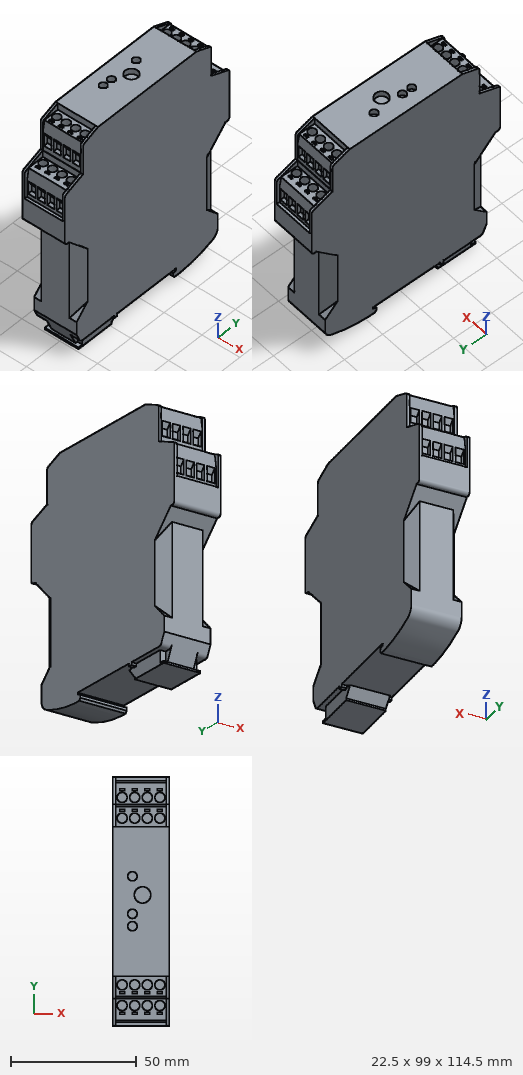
import cadquery as cq
import math

width = 22.5
length = 99.0
height = 114.5

top_half = 29.6
shoulder_half = 38.6
end_half = length / 2
waist_half = 42.5
shoulder_z = 95.3
roof_angle = 21.0
roof_fillet = 1.5
overhang_z = 64.5
overhang_half = 47.0
overhang_fillet = 1.5
base_z = 6.4
corner_fillet = 2.0
chamfer_top_z = 11.6
chamfer_angle = 25.0

hook_wall_y = 17.4
hook_tip_y = 15.5
hook_bottom_z = 2.5
hook_throat_drop = 0.8
hook_tip_drop = 1.5
hook_bevel_width = 0.8
hook_bevel_height = 1.0
hook_flat_end_y = 19.5
belly_mid = (30.5, 4.0)
belly_end = (38.6, 6.5)
belly_corner_mid = (41.3, 8.2)
belly_corner_top_z = 11.2

relief_inner_half = 35.9
relief_depth = 3.75
relief_bottom_z = 18.5

wall = 1.25
block_width = width - 2 * wall
pole_count = 4
pole_pitch = 5.0
tier_drop = 19.2
upper_top_z = 111.0
lip_height = 0.8
lean_height = 4.8
lean = 0.8
upper_inset = 0.1
lower_inset = 1.5
upper_front = shoulder_half - upper_inset
lower_front = end_half - lower_inset
ledge_z = 76.8

entry_width = 3.75
entry_top_drop = 6.3
entry_height = 6.7
entry_depth = 1.4
entry_back_width = 2.9
entry_back_height = 3.2
entry_floor_rise = 0.9

screw_diameter = 4.0
screw_depth = 5.0
upper_screw_y = 33.1
lower_screw_y = 41.3
slot_offset = 3.15
slot_length = 2.0
slot_width = 0.8
slot_depth = 2.0

indicator_diameter = 3.7
indicator_x = -3.4
indicator_ys = (10.0, -4.9, -9.8)
dial_diameter = 6.5
dial_x = 0.6
dial_y = 2.6
top_hole_depth = 3.0

clip_width = 17.8
tongue_width = 12.6
clip_end_y = -36.3
clip_toe_y = -38.7
clip_nose_y = -15.0
clip_nose_z = 5.1
clip_heel_y = -18.6
clip_neck_y = -17.7
clip_neck_z = 5.8
clip_foot = 0.9
stop_y = -18.9
stop_width = 1.9
stop_drop = 1.2


def extrude_yz(profile, thickness):
    """Extrude a closed YZ profile symmetrically about X = 0."""
    return profile.extrude(thickness / 2, both=True)


def polygon_yz(points, thickness):
    return extrude_yz(cq.Workplane("YZ").polyline(points).close(), thickness)


def chamfer_y(z):
    """Y of the sloped -Y end of the base at height z."""
    return -waist_half + (chamfer_top_z - z) * math.tan(math.radians(chamfer_angle))


def fillet_corner(body, y, z, radius):
    return body.edges(cq.selectors.NearestToPointSelector((0, y, z))).fillet(radius)


def mirrored(shape):
    """The shape together with its mirror image on the other Y side."""
    return shape.union(shape.mirror("XZ"))


roof_slope = math.tan(math.radians(roof_angle))
upper_corner_z = height - (shoulder_half - top_half) * roof_slope
lower_corner_z = shoulder_z - (end_half - shoulder_half) * roof_slope
waist_top_z = overhang_z - (overhang_half - waist_half)


def make_housing():
    upper_side = [
        (waist_half, waist_top_z),
        (overhang_half, overhang_z),
        (end_half, overhang_z),
        (end_half, lower_corner_z),
        (shoulder_half, shoulder_z),
        (shoulder_half, upper_corner_z),
        (top_half, height),
    ]
    profile = cq.Workplane("YZ").moveTo(*upper_side[0])
    for point in upper_side[1:]:
        profile = profile.lineTo(*point)
    for y, z in reversed(upper_side):
        profile = profile.lineTo(-y, z)
    profile = (
        profile.lineTo(-waist_half, chamfer_top_z)
        .lineTo(chamfer_y(base_z), base_z)
        .lineTo(hook_wall_y, base_z)
        .lineTo(hook_wall_y, base_z - hook_throat_drop)
        .lineTo(hook_tip_y, base_z - hook_tip_drop)
        .lineTo(hook_tip_y, hook_bottom_z + hook_bevel_height)
        .lineTo(hook_tip_y + hook_bevel_width, hook_bottom_z)
        .lineTo(hook_flat_end_y, hook_bottom_z)
        .threePointArc(belly_mid, belly_end)
        .threePointArc(belly_corner_mid, (waist_half, belly_corner_top_z))
        .close()
    )
    body = extrude_yz(profile, width)
    for side in (-1, 1):
        body = fillet_corner(body, side * shoulder_half, upper_corner_z, roof_fillet)
        body = fillet_corner(body, side * end_half, lower_corner_z, roof_fillet)
        body = fillet_corner(body, side * end_half, overhang_z, overhang_fillet)
    return fillet_corner(body, chamfer_y(base_z), base_z, corner_fillet)


def make_reliefs():
    """Slanted cuts on the four vertical edges of the waist, closed above and below at 45 degrees."""
    run = waist_half - relief_inner_half
    window = polygon_yz(
        [
            (-waist_half, relief_bottom_z),
            (-waist_half, waist_top_z),
            (-relief_inner_half, waist_top_z - run),
            (-relief_inner_half, relief_bottom_z + run),
        ],
        width,
    )
    wedge = (
        cq.Workplane("XY")
        .moveTo(-width / 2, -waist_half)
        .lineTo(-width / 2 + relief_depth, -waist_half)
        .lineTo(-width / 2, -relief_inner_half)
        .close()
        .extrude(height)
    )
    cut = window.intersect(wedge)
    return mirrored(cut.union(cut.mirror("YZ")))


def make_terminal_clearance():
    """Space between the side walls above and in front of the two terminal tiers at the -Y end."""
    lower_top_z = upper_top_z - tier_drop

    def tier_front(front_y, top_z):
        return [
            (-(front_y - lean), top_z),
            (-(front_y - lean), top_z - lip_height),
            (-front_y, top_z - lip_height - lean_height),
        ]

    return polygon_yz(
        [(-top_half, height), (-top_half, upper_top_z)]
        + tier_front(upper_front, upper_top_z)
        + [(-upper_front, shoulder_z), (-shoulder_half, shoulder_z), (-shoulder_half, lower_top_z)]
        + tier_front(lower_front, lower_top_z)
        + [(-lower_front, ledge_z), (-end_half, ledge_z), (-end_half, height)],
        block_width,
    )


def make_wire_entry(x, front_y, top_z):
    """Funnel-shaped wire entry, narrowing from the terminal front towards its back."""
    bottom_z = top_z - entry_top_drop - entry_height
    middle_z = bottom_z + entry_height / 2
    back_middle_z = bottom_z + entry_floor_rise + entry_back_height / 2
    return (
        cq.Workplane("XZ", origin=(x, -front_y, middle_z))
        .rect(entry_width, entry_height)
        .workplane(offset=-entry_depth)
        .center(0, back_middle_z - middle_z)
        .rect(entry_back_width, entry_back_height)
        .loft(ruled=True)
    )


def make_terminal_openings():
    cuts = cq.Workplane("XY")
    tiers = (
        (upper_front, upper_top_z, upper_screw_y),
        (lower_front, upper_top_z - tier_drop, lower_screw_y),
    )
    for front_y, top_z, screw_y in tiers:
        for pole in range(pole_count):
            x = (pole - (pole_count - 1) / 2) * pole_pitch
            screw = cq.Workplane("XY", origin=(x, -screw_y, top_z)).circle(screw_diameter / 2)
            slot = cq.Workplane("XY", origin=(x, -screw_y - slot_offset, top_z))
            slot = slot.rect(slot_length, slot_width)
            cuts = cuts.add(screw.extrude(-screw_depth))
            cuts = cuts.add(slot.extrude(-slot_depth))
            cuts = cuts.add(make_wire_entry(x, front_y, top_z))
    return cuts.combine()


def make_top_holes():
    face = cq.Workplane("XY", origin=(0, 0, height))
    indicators = face.pushPoints([(indicator_x, y) for y in indicator_ys]).circle(indicator_diameter / 2)
    holes = indicators.extrude(-top_hole_depth)
    dial = cq.Workplane("XY", origin=(dial_x, dial_y, height)).circle(dial_diameter / 2)
    return holes.union(dial.extrude(-top_hole_depth))


def make_clip():
    slider = polygon_yz(
        [
            (clip_end_y, base_z),
            (clip_end_y, 0),
            (clip_heel_y, 0),
            (clip_heel_y, clip_foot),
            (clip_nose_y, clip_nose_z),
            (clip_neck_y, clip_neck_z),
            (clip_neck_y, base_z),
        ],
        clip_width,
    )
    foot = polygon_yz(
        [(clip_toe_y, 0), (clip_toe_y, clip_foot), (clip_end_y, clip_foot), (clip_end_y, 0)],
        clip_width,
    )
    tongue_top_z = base_z + corner_fillet
    tongue = polygon_yz(
        [
            (clip_end_y, clip_foot),
            (chamfer_y(clip_foot), clip_foot),
            (chamfer_y(tongue_top_z), tongue_top_z),
            (clip_end_y, tongue_top_z),
        ],
        tongue_width,
    )
    return slider.union(foot).union(tongue)


def make_stop():
    """Small rib under the base, beside the nose of the clip."""
    stop = cq.Workplane("XY", origin=(0, stop_y, base_z)).rect(width, stop_width)
    return stop.extrude(-stop_drop)


result = make_housing().cut(make_reliefs())
result = result.cut(mirrored(make_terminal_clearance()))
result = result.cut(mirrored(make_terminal_openings()))
result = result.cut(make_top_holes())
result = result.union(make_clip()).union(make_stop())